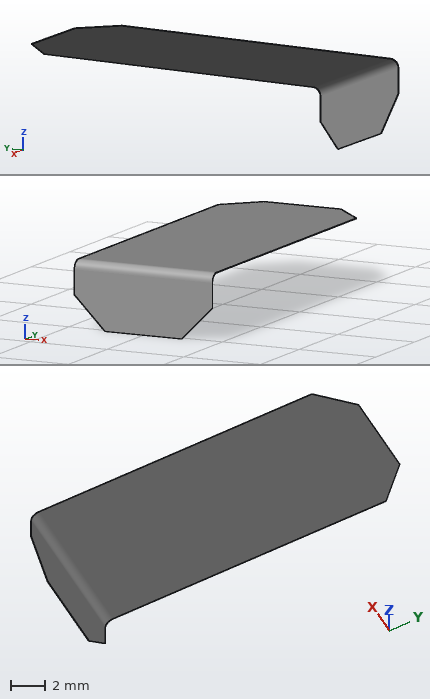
import cadquery as cq

width = 9.0
length = 20.65
height = 4.05
thickness = 0.05
inner_bend_radius = 0.5
corner_chamfer = 2.0

outer_bend_radius = inner_bend_radius + thickness



def bent_strip():
    """L-shaped sheet with a rounded bend, centred on X = 0."""
    sheet = (
        cq.Workplane("YZ")
        .moveTo(0, -height)
        .lineTo(thickness, -height)
        .lineTo(thickness, -outer_bend_radius)
        .radiusArc((outer_bend_radius, -thickness), inner_bend_radius)
        .lineTo(length, -thickness)
        .lineTo(length, 0)
        .lineTo(outer_bend_radius, 0)
        .radiusArc((0, -outer_bend_radius), -outer_bend_radius)
        .close()
        .extrude(width / 2, both=True)
    )
    return sheet


def chamfer_free_corners(sheet):
    """Cut the two corners at the free end of each leg."""
    sheet = sheet.faces(">Y").edges("|Z").chamfer(corner_chamfer)
    return sheet.faces("<Z").edges("|Y").chamfer(corner_chamfer)


result = chamfer_free_corners(bent_strip())